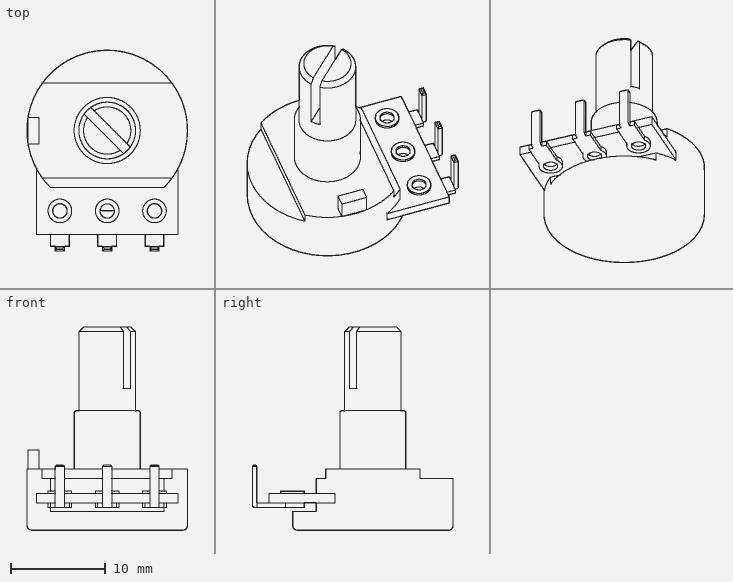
import cadquery as cq
import math


housing_diameter = 17.0
housing_radius = housing_diameter / 2
housing_bottom_fillet = 0.5
base_height = 2.0
shoulder_height = 5.5
top_height = 6.5
front_flat_y = -6.0
raised_top_depth = 10.0

tab_outer_x = -8.4
tab_thickness = 1.2
tab_width = 2.8
tab_height = 2.0

bushing_diameter = 7.0
bushing_top = 12.65
shaft_diameter = 6.0
shaft_top = 21.5
shaft_chamfer = 0.5
slot_width = 1.0
slot_bottom = 15.0
slot_angle = -45.0
bushing_wall = (bushing_diameter - shaft_diameter) / 2
bushing_rim_radius = bushing_wall / 2

board_width = 15.0
board_thickness = 1.0
board_bottom = 2.9
board_top = board_bottom + board_thickness
board_back_y = -math.sqrt(housing_radius**2 - (board_width / 2) ** 2)
board_front_y = -11.0

terminal_pitch = 5.0
terminal_xs = [-terminal_pitch, 0, terminal_pitch]
eyelet_y = -8.5
eyelet_diameter = 2.5
eyelet_bore = 1.5
ring_thickness = 0.25
terminal_thickness = 0.5
terminal_bottom = board_bottom - terminal_thickness
strip_width = 2.0
strip_end_y = -12.25
leg_width = 1.0
leg_height = 4.5
leg_tip_chamfer = 0.15
leg_bend_radius = 0.25


def block(x_min, x_max, y_min, y_max, z_min, z_max):
    """Box given by its limits along each axis."""
    size = (x_max - x_min, y_max - y_min, z_max - z_min)
    return cq.Workplane("XY").box(*size, centered=False).translate((x_min, y_min, z_min))


def cylinder(diameter, z_min, z_max, x=0, y=0):
    """Upright cylinder."""
    return cq.Workplane("XY", origin=(x, y, z_min)).circle(diameter / 2).extrude(z_max - z_min)


def make_tab():
    """Flat tab whose outer corners follow the round wall of the housing."""
    tab_top = top_height + tab_height
    tab = block(
        tab_outer_x, tab_outer_x + tab_thickness,
        -tab_width / 2, tab_width / 2,
        shoulder_height, tab_top,
    )
    return tab.intersect(cylinder(housing_diameter, shoulder_height, tab_top))


def make_bushing():
    """Plain tube around the shaft with a fully rounded rim."""
    rim_start = bushing_top - bushing_rim_radius
    inner = shaft_diameter / 2
    outer = bushing_diameter / 2
    return (
        cq.Workplane("XZ")
        .moveTo(inner, top_height)
        .lineTo(outer, top_height)
        .lineTo(outer, rim_start)
        .tangentArcPoint((outer - bushing_rim_radius, bushing_top), relative=False)
        .tangentArcPoint((inner, rim_start), relative=False)
        .close()
        .revolve(360, (0, 0, 0), (0, 1, 0))
    )


def make_board():
    """Terminal board with one bore for each terminal."""
    board = block(
        -board_width / 2, board_width / 2,
        board_front_y, board_back_y,
        board_bottom, board_top,
    )
    for x in terminal_xs:
        board = board.cut(cylinder(eyelet_bore, board_bottom, board_top, x, eyelet_y))
    return board


def make_housing(board):
    """Round can with a stepped top, front flat, bushing, tab and a slot for the board."""
    can = cylinder(housing_diameter, 0, top_height).faces("<Z").edges().fillet(housing_bottom_fillet)

    ledge_y = raised_top_depth / 2
    r = housing_radius
    back_ledge = block(-r, r, ledge_y, r, shoulder_height, top_height)
    front_ledge = block(-r, r, -r, -ledge_y, shoulder_height, top_height)
    front_flat = block(-r, r, -r, front_flat_y, base_height, top_height)
    can = can.cut(back_ledge).cut(front_ledge).cut(front_flat)

    return can.union(make_tab()).union(make_bushing()).cut(board)


def make_shaft():
    """Round shaft standing on the housing, with a chamfered, slotted tip."""
    shaft = cylinder(shaft_diameter, top_height, shaft_top).faces(">Z").chamfer(shaft_chamfer)
    half_length = shaft_diameter
    slot = block(
        -half_length, half_length,
        -slot_width / 2, slot_width / 2,
        slot_bottom, shaft_top,
    ).rotate((0, 0, 0), (0, 0, 1), slot_angle)
    return shaft.cut(slot)


def make_ring(x):
    """Eyelet ring lying on the board."""
    ring_top = board_top + ring_thickness
    ring = cylinder(eyelet_diameter, board_top, ring_top, x, eyelet_y)
    return ring.cut(cylinder(eyelet_bore, board_top, ring_top, x, eyelet_y))


def make_terminal(x):
    """Eyelet and strip under the board, ending in a narrow upright leg."""
    eyelet = cylinder(eyelet_diameter, terminal_bottom, board_bottom, x, eyelet_y)
    strip = block(
        x - strip_width / 2, x + strip_width / 2,
        strip_end_y, eyelet_y,
        terminal_bottom, board_bottom,
    )
    leg = block(
        x - leg_width / 2, x + leg_width / 2,
        strip_end_y - terminal_thickness, strip_end_y,
        terminal_bottom, terminal_bottom + leg_height,
    )
    leg = leg.faces(">Z").chamfer(leg_tip_chamfer)
    leg = leg.faces("<Z").edges("<Y").fillet(leg_bend_radius)
    bore = cylinder(eyelet_bore, terminal_bottom, board_bottom, x, eyelet_y)
    return eyelet.union(strip).union(leg).cut(bore)


board = make_board()
housing = make_housing(board)
shaft = make_shaft()
rings = [make_ring(x) for x in terminal_xs]
terminals = [make_terminal(x) for x in terminal_xs]

bodies = [housing, shaft, board, *rings, *terminals]
result = cq.Compound.makeCompound([body.solids().val() for body in bodies])